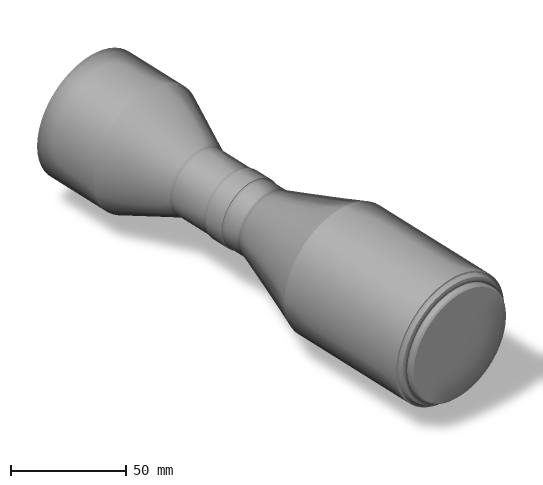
import cadquery as cq

total_length = 228.0
head_length = 34.7
head_taper_length = 32.8
neck_length = 42.0
body_taper_length = 44.0
body_length = 68.6
shoulder_length = 2.0

collar_offset = 22.0
collar_length = 9.5

head_diameter = 64.0
neck_diameter = 34.2
collar_diameter = 35.3
body_diameter = 66.1
shoulder_start_diameter = 64.3
shoulder_end_diameter = 62.2
end_diameter = 58.0

end_chamfer = 0.7

head_end = head_length
neck_start = head_end + head_taper_length
collar_start = neck_start + collar_offset
collar_end = collar_start + collar_length
neck_end = neck_start + neck_length
body_start = neck_end + body_taper_length
body_end = body_start + body_length
shoulder_end = body_end + shoulder_length

half_section = [
    (0, 0),
    (0, head_diameter / 2),
    (head_end, head_diameter / 2),
    (neck_start, neck_diameter / 2),
    (collar_start, neck_diameter / 2),
    (collar_start, collar_diameter / 2),
    (collar_end, collar_diameter / 2),
    (collar_end, neck_diameter / 2),
    (neck_end, neck_diameter / 2),
    (body_start, body_diameter / 2),
    (body_end, body_diameter / 2),
    (body_end, shoulder_start_diameter / 2),
    (shoulder_end, shoulder_end_diameter / 2),
    (shoulder_end, end_diameter / 2 - end_chamfer),
    (shoulder_end + end_chamfer, end_diameter / 2),
    (total_length - end_chamfer, end_diameter / 2),
    (total_length, end_diameter / 2 - end_chamfer),
    (total_length, 0),
]

result = cq.Workplane("XZ").polyline(half_section).close().revolve(360, (0, 0, 0), (1, 0, 0))